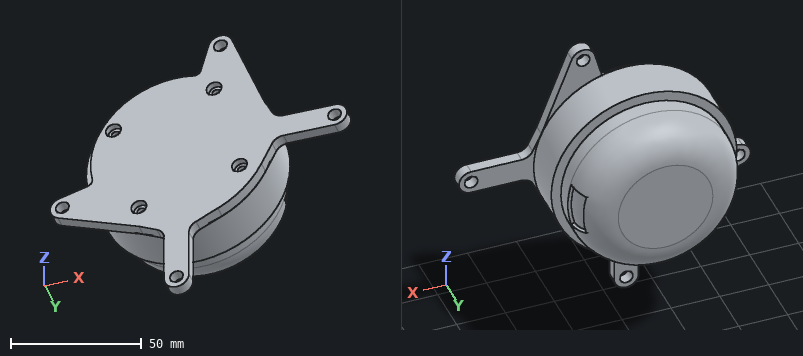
import cadquery as cq
import math

plate_thickness = 5.0
tab_radius = 5.0
tab_hole_diameter = 5.3
arm_reach = 63.6
ear_x = 17.7
ear_z = 45.9
flare_angle = 26
arm_fillet = 5.0
ear_fillet = 2.5
relief_radius = 34.6

beacon_angle = 104.2

screw_count = 4
screw_circle_radius = 29.5
screw_first_angle = beacon_angle - 180 / screw_count
screw_hole_diameter = 3.5
screw_head_diameter = 6.1
screw_head_depth = 3.0

base_radius = 38.0
base_length = 18.5
neck_radius = 30.4
neck_length = 1.0
cap_radius = 34.5
cap_rim_length = 6.5
dome_radius = 15.1

recess_half_angle = 16
recess_depth = 1.4
recess_bottom = 0.8
recess_top = 9.2

lower_diagonal = -45
upper_diagonal = 135


def polar(radius, angle):
    """Point (x, z) at an angle in degrees from +X toward +Z."""
    turn = math.radians(angle)
    return (radius * math.cos(turn), radius * math.sin(turn))


def from_ear(angle):
    """Point (x, z) on the rounded tip of the ear."""
    dx, dz = polar(tab_radius, angle)
    return (ear_x + dx, ear_z + dz)


def across_diagonal(point):
    """Reflection of a point (x, z) in the diagonal of symmetry."""
    x, z = point
    return (-z, -x)


ear_distance = math.hypot(ear_x, ear_z)
ear_direction = math.degrees(math.atan2(ear_z, ear_x))
outer_normal = ear_direction - math.degrees(math.acos((base_radius - tab_radius) / ear_distance))
inner_edge = ear_direction + math.degrees(math.asin(tab_radius / ear_distance))
inner_normal = inner_edge + 90
ear_root = polar(relief_radius, inner_edge)

flare = math.radians(flare_angle)
arm_root_x = (base_radius - tab_radius * math.sin(flare)) / math.cos(flare)
upper_arm_root = (arm_root_x, tab_radius)
lower_arm_root = (arm_root_x, -tab_radius)

corner_half_angle = math.radians((flare_angle - outer_normal) / 2)
flare_corner = polar(base_radius / math.cos(corner_half_angle), (flare_angle + outer_normal) / 2)


def arc_middle(radius, start_angle, end_angle):
    return polar(radius, (start_angle + end_angle) / 2)


def half_plate():
    """The half of the plate above the diagonal, with one arm and one ear."""
    return (
        cq.Workplane("XZ")
        .lineTo(*polar(base_radius, lower_diagonal))
        .threePointArc(
            arc_middle(base_radius, lower_diagonal, -flare_angle), polar(base_radius, -flare_angle)
        )
        .lineTo(*lower_arm_root)
        .lineTo(arm_reach, -tab_radius)
        .threePointArc((arm_reach + tab_radius, 0), (arm_reach, tab_radius))
        .lineTo(*upper_arm_root)
        .lineTo(*flare_corner)
        .lineTo(*from_ear(outer_normal))
        .threePointArc(from_ear((outer_normal + inner_normal) / 2), from_ear(inner_normal))
        .lineTo(*ear_root)
        .threePointArc(
            arc_middle(relief_radius, inner_edge, upper_diagonal), polar(relief_radius, upper_diagonal)
        )
        .close()
        .extrude(-plate_thickness)
    )


def fillet_corner(plate, corner, radius):
    """Round the plate edge that runs along Y through the point (x, z)."""
    x, z = corner
    nearest = cq.selectors.NearestToPointSelector((x, plate_thickness / 2, z))
    return plate.edges("|Y").edges(nearest).fillet(radius)


def make_bracket():
    half = half_plate().val()
    other_half = half.mirror("XY").rotate((0, 0, 0), (0, 1, 0), 90)
    plate = cq.Workplane(half).union(cq.Workplane(other_half)).clean()

    for corner, radius in (
        (upper_arm_root, arm_fillet),
        (lower_arm_root, arm_fillet),
        (ear_root, ear_fillet),
    ):
        plate = fillet_corner(plate, corner, radius)
        plate = fillet_corner(plate, across_diagonal(corner), radius)

    arm_tip = (arm_reach, 0)
    ear_tip = (ear_x, ear_z)
    tab_holes = [arm_tip, ear_tip, across_diagonal(arm_tip), across_diagonal(ear_tip)]
    screws = [
        polar(screw_circle_radius, screw_first_angle + i * 360 / screw_count)
        for i in range(screw_count)
    ]
    return (
        plate.copyWorkplane(cq.Workplane("XZ"))
        .pushPoints(tab_holes)
        .hole(tab_hole_diameter)
        .copyWorkplane(cq.Workplane("XZ"))
        .pushPoints(screws)
        .cboreHole(screw_hole_diameter, screw_head_diameter, screw_head_depth)
    )


base_back = plate_thickness + base_length
cap_front = base_back + neck_length
rim_back = cap_front + cap_rim_length
dome_top = rim_back + dome_radius
flat_radius = cap_radius - dome_radius


def dome_point(arc_radius, height):
    """Point (radius, y) on an arc concentric with the dome, at a height above the rim."""
    return (flat_radius + math.sqrt(arc_radius**2 - height**2), rim_back + height)


def beacon_body():
    """Revolve the stepped profile of radius against y around the Y axis."""
    return (
        cq.Workplane("XY")
        .moveTo(0, plate_thickness)
        .lineTo(base_radius, plate_thickness)
        .lineTo(base_radius, base_back)
        .lineTo(neck_radius, base_back)
        .lineTo(neck_radius, cap_front)
        .lineTo(cap_radius, cap_front)
        .lineTo(cap_radius, rim_back)
        .threePointArc(dome_point(dome_radius, dome_radius * math.sqrt(0.5)), (flat_radius, dome_top))
        .lineTo(0, dome_top)
        .close()
        .revolve(360, (0, 0, 0), (0, 1, 0))
        .rotate((0, 0, 0), (0, 1, 0), -beacon_angle)
    )


def dome_recess():
    """Sector to cut from the dome, with its floor parallel to the dome surface."""
    floor_radius = dome_radius - recess_depth
    recess_middle = (recess_bottom + recess_top) / 2
    return (
        cq.Workplane("XY")
        .moveTo(*dome_point(floor_radius, recess_bottom))
        .lineTo(cap_radius, rim_back + recess_bottom)
        .lineTo(cap_radius, rim_back + recess_top)
        .lineTo(*dome_point(floor_radius, recess_top))
        .threePointArc(
            dome_point(floor_radius, recess_middle), dome_point(floor_radius, recess_bottom)
        )
        .close()
        .revolve(2 * recess_half_angle, (0, 0, 0), (0, 1, 0))
        .rotate((0, 0, 0), (0, 1, 0), -recess_half_angle)
    )


def make_beacon():
    return beacon_body().cut(dome_recess())


bracket = make_bracket()
beacon = make_beacon()

result = cq.Compound.makeCompound([bracket.val(), beacon.val()])